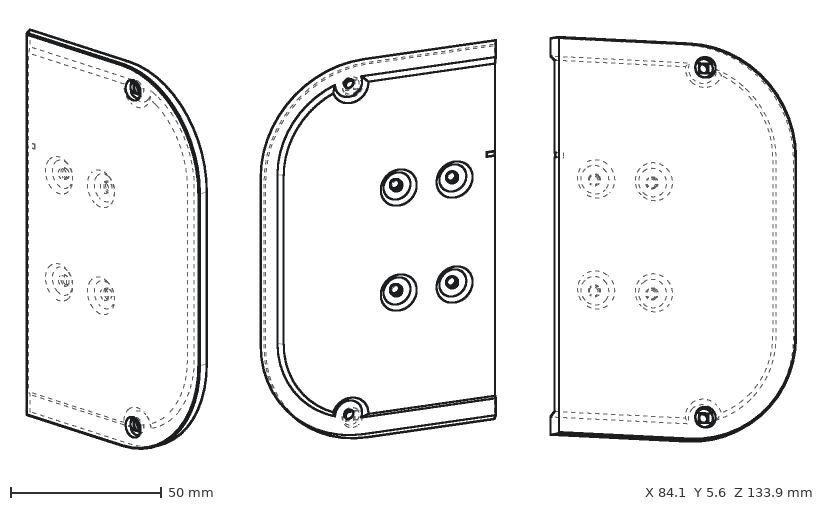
import cadquery as cq
import math

height = 133.9
width = 84.1
thickness = 3.6
corner_radius = 36.8
front_chamfer = 0.4
bevel_width = 2.0

rim_width = 6.0
pocket_depth = 1.6
wall_slope = 45.0
overshoot = 6.7

screw_x = 52.6
screw_z = 59.0
screw_hole_diameter = 3.2
counterbore_diameter = 7.0
counterbore_floor_diameter = 6.2
counterbore_depth = 1.6
step_depth = 0.3

peg_center_z = 1.2
peg_spacing_z = 37.5
peg_diameter = 3.9
peg_chamfer = 0.4
outer_peg_x = 15.4
inner_peg_x = 35.3
outer_peg_height = 1.6
inner_peg_height = 2.0
boss_top_diameter = 9.6

groove_z = 27.3
groove_width = 1.6
groove_depth = 0.4
groove_end_x = 4.0

pocket_floor = thickness - pocket_depth
wall_run = pocket_depth * math.tan(math.radians(wall_slope))


def section_at(y):
    """Workplane parallel to the front face whose extrusions run toward +Y."""
    return cq.Workplane(cq.Plane(origin=(0, y, 0), xDir=(1, 0, 0), normal=(0, -1, 0)))


def d_shape(plane, left, inset):
    """Outline square on the left and rounded on the right, inset from the plate edge."""
    right = width - inset
    top = height / 2 - inset
    radius = corner_radius - inset
    arc_x = right - radius
    arc_z = top - radius
    diagonal = radius * math.sqrt(0.5)
    return (
        plane.moveTo(left, -top)
        .lineTo(arc_x, -top)
        .threePointArc((arc_x + diagonal, -arc_z - diagonal), (right, -arc_z))
        .lineTo(right, arc_z)
        .threePointArc((arc_x + diagonal, arc_z + diagonal), (arc_x, top))
        .lineTo(left, top)
        .close()
    )


def cylinder(x, z, y, diameter, length):
    return section_at(y).center(x, z).circle(diameter / 2).extrude(-length)


def make_plate():
    plate = d_shape(section_at(0), 0, 0).extrude(-thickness)
    plate = plate.faces("<Y").edges("not(<X)").chamfer(front_chamfer)
    bevel = (
        cq.Workplane("XY")
        .polyline([(0, thickness), (bevel_width, 0), (0, 0)])
        .close()
        .extrude(height, both=True)
    )
    return plate.cut(bevel)


def make_boss(x, z):
    """Sloped boss rising from the pocket floor to the back face."""
    base_radius = boss_top_diameter / 2 + wall_run
    boss = section_at(pocket_floor).center(x, z).circle(base_radius)
    return boss.extrude(-pocket_depth, taper=wall_slope)


def make_pocket():
    floor_inset = rim_width + wall_run
    pocket = d_shape(section_at(pocket_floor), -overshoot, floor_inset)
    return pocket.extrude(-pocket_depth, taper=-wall_slope)


def make_peg(x, z, peg_height):
    peg = cylinder(x, z, pocket_floor, peg_diameter, pocket_depth + peg_height)
    return peg.faces(">Y").chamfer(peg_chamfer)


def make_screw_cutter(x, z):
    """Tapered counterbore, then a slot and a square that step down to the round hole."""
    bore = (
        section_at(0)
        .center(x, z)
        .circle(counterbore_diameter / 2)
        .workplane(offset=-counterbore_depth)
        .circle(counterbore_floor_diameter / 2)
        .loft()
    )
    slot = (
        section_at(counterbore_depth)
        .center(x, z)
        .rect(counterbore_floor_diameter, screw_hole_diameter)
        .extrude(-step_depth)
        .intersect(cylinder(x, z, 0, counterbore_floor_diameter, thickness))
    )
    square = (
        section_at(counterbore_depth)
        .center(x, z)
        .rect(screw_hole_diameter, screw_hole_diameter)
        .extrude(-2 * step_depth)
    )
    hole = cylinder(x, z, 0, screw_hole_diameter, thickness)
    return bore.union(slot).union(square).union(hole)


def make_groove():
    length = groove_end_x + overshoot
    groove = section_at(pocket_floor - groove_depth).center(groove_end_x - length / 2, groove_z)
    return groove.rect(length, groove_width).extrude(-groove_depth)


pegs = [(outer_peg_x, outer_peg_height), (inner_peg_x, inner_peg_height)]

pocket = make_pocket()
for side in (-1, 1):
    pocket = pocket.cut(make_boss(screw_x, side * screw_z))
    for peg_x, _ in pegs:
        pocket = pocket.cut(make_boss(peg_x, peg_center_z + side * peg_spacing_z / 2))

result = make_plate().cut(pocket).cut(make_groove())
for side in (-1, 1):
    result = result.cut(make_screw_cutter(screw_x, side * screw_z))
    for peg_x, peg_height in pegs:
        result = result.union(make_peg(peg_x, peg_center_z + side * peg_spacing_z / 2, peg_height))